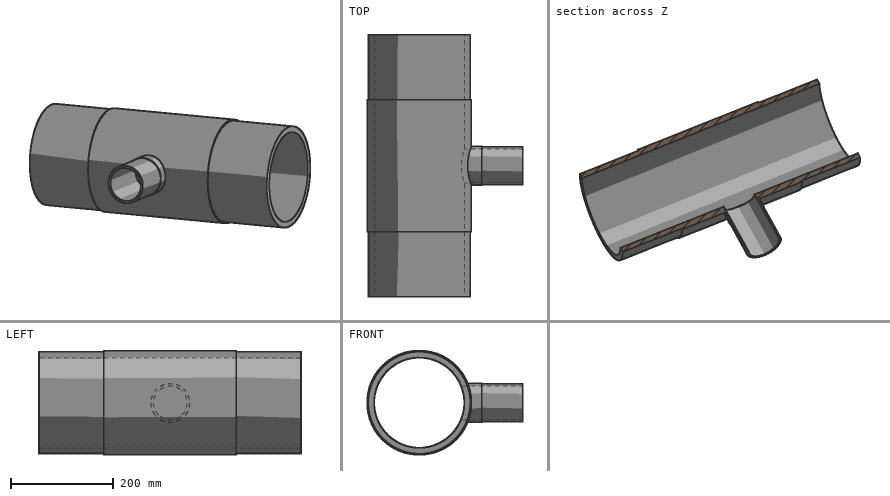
import cadquery as cq

pipe_length = 514.0
pipe_diameter = 200.0
pipe_bore = 176.5

body_length = 259.0
body_diameter = 204.5

branch_reach = 203.0
branch_diameter = 75.0
branch_bore = 66.0
collar_reach = 122.5
collar_diameter = 76.5


def cylinder_along_y(diameter, length):
    """Cylinder on the Y axis, centred on the origin."""
    return cq.Workplane("XZ").circle(diameter / 2).extrude(length / 2, both=True)


def cylinder_along_x(diameter, reach):
    """Cylinder from the pipe axis out to the given X."""
    return cq.Workplane("YZ").circle(diameter / 2).extrude(reach)


outside = (
    cylinder_along_y(pipe_diameter, pipe_length)
    .union(cylinder_along_y(body_diameter, body_length))
    .union(cylinder_along_x(collar_diameter, collar_reach))
    .union(cylinder_along_x(branch_diameter, branch_reach))
)

result = (
    outside
    .cut(cylinder_along_y(pipe_bore, pipe_length))
    .cut(cylinder_along_x(branch_bore, branch_reach))
)